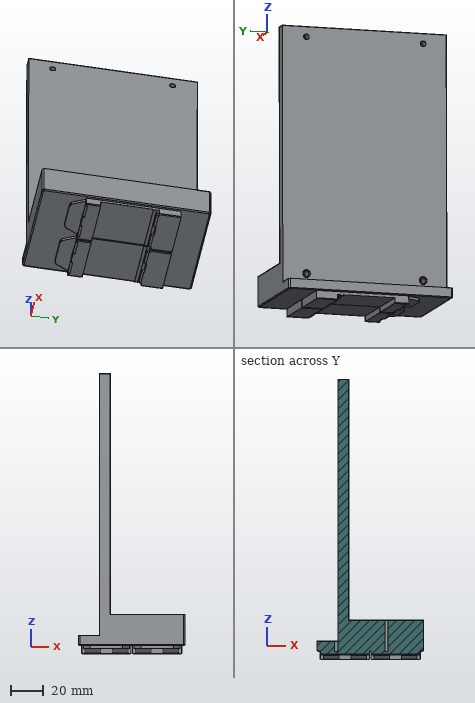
import cadquery as cq
import math

BASE_DEPTH = 64.8
BASE_LENGTH = 104.3
TOTAL_HEIGHT = 170.1
BASE_BOTTOM = 5.1
LEDGE_TOP = 11.2
BLOCK_TOP = 24.0
CORNER_CHAMFER = 1.0
BOTTOM_CHAMFER_HEIGHT = 0.5
BOTTOM_CHAMFER_INSET = 0.9

PLATE_X = 12.8
PLATE_THICKNESS = 6.6
END_LEAN = 0.3

MOUNT_HOLE_Y = 37.1
MOUNT_HOLE_DIAMETER = 3.4
UPPER_HOLE_Z = 163.8
LOWER_HOLE_MOUTH_DIAMETER = 4.8
LOWER_HOLE_Z = 17.4
LOWER_HOLE_DEPTH = 8.5
DRILL_TIP_ANGLE = 118
SCREW_HOLE_DIAMETER = 1.7
SCREW_HOLES_X = (11.7, 42.2)

CLIP_WIDTH = 30.0
CLIP_PITCH = 30.8
CLIP_CHAMFER = 0.5
DECK_BOTTOM = 3.4
CLIP_BACK_Y = 34
BACK_FOOT_Y = 20.8
FRONT_FOOT_Y = -15.7
CLIP_FRONT_Y = -24.7

HOOK_TOP = 2.2
HOOK_NOSE_BOTTOM = 1.1
HOOK_REACH = 1.5
HOOK_X = 8.3
HOOK_WIDTH = 9.4

RIB_Y = 17.9
RIB_WIDTH = 2.0
RIB_DEPTH = 0.43

TAB_END_Y = -33.7
TAB_SHOULDER_Y = -32.7
TAB_ROOT_HALF_WIDTH = 14.0
TAB_SHOULDER_HALF_WIDTH = 9.9
TAB_END_HALF_WIDTH = 6.6
TAB_CORNER_BULGE = 0.3


def box(x_min, x_max, y_min, y_max, z_min, z_max):
    """Box between two opposite corners."""
    return (
        cq.Workplane("XY")
        .box(x_max - x_min, y_max - y_min, z_max - z_min, centered=False)
        .translate((x_min, y_min, z_min))
    )


def extrude_along_x(yz_points, x_center, width):
    """Prism with a YZ outline, centred on x_center."""
    outline = cq.Workplane("YZ").polyline(yz_points).close()
    return outline.extrude(width / 2, both=True).translate((x_center, 0, 0))


def make_body():
    """Base and upright plate in one piece, with both ends leaning slightly towards +Y."""
    half = BASE_LENGTH / 2
    outline = [
        (-half, BASE_BOTTOM),
        (half, BASE_BOTTOM),
        (half + END_LEAN, TOTAL_HEIGHT),
        (-half + END_LEAN, TOTAL_HEIGHT),
    ]
    body = extrude_along_x(outline, BASE_DEPTH / 2, BASE_DEPTH)
    body = body.edges("not(|X or |Y)").chamfer(CORNER_CHAMFER)
    body = body.faces("<Z").chamfer(BOTTOM_CHAMFER_INSET, BOTTOM_CHAMFER_HEIGHT)
    above_ledge = box(0, PLATE_X, -BASE_LENGTH, BASE_LENGTH, LEDGE_TOP, TOTAL_HEIGHT)
    plate_back_x = PLATE_X + PLATE_THICKNESS
    above_block = box(plate_back_x, BASE_DEPTH, -BASE_LENGTH, BASE_LENGTH, BLOCK_TOP, TOTAL_HEIGHT)
    return body.cut(above_ledge).cut(above_block)


def drill_through_plate(body, y, z):
    """Plain hole through the plate."""
    drill = cq.Workplane("YZ", origin=(PLATE_X, y, z)).circle(MOUNT_HOLE_DIAMETER / 2)
    return body.cut(drill.extrude(PLATE_THICKNESS))


def drill_blind_hole(body, y, z):
    """Countersunk blind hole with a conical bottom, entering from the plate's -X face."""
    radius = MOUNT_HOLE_DIAMETER / 2
    mouth_radius = LOWER_HOLE_MOUTH_DIAMETER / 2
    tip_length = radius / math.tan(math.radians(DRILL_TIP_ANGLE / 2))
    profile = cq.Workplane("XY").polyline([
        (0, 0),
        (0, mouth_radius),
        (mouth_radius - radius, radius),
        (LOWER_HOLE_DEPTH, radius),
        (LOWER_HOLE_DEPTH + tip_length, 0),
    ]).close()
    drill = profile.revolve(360, (0, 0, 0), (1, 0, 0))
    return body.cut(drill.translate((PLATE_X, y, z)))


def make_tab(x_center):
    """Release tab in front of the clip: tapered sides and a rounded end."""
    return (
        cq.Workplane("XY", origin=(x_center, 0, DECK_BOTTOM))
        .moveTo(-TAB_ROOT_HALF_WIDTH, CLIP_FRONT_Y)
        .lineTo(-TAB_SHOULDER_HALF_WIDTH, TAB_SHOULDER_Y)
        .sagittaArc((-TAB_END_HALF_WIDTH, TAB_END_Y), -TAB_CORNER_BULGE)
        .lineTo(TAB_END_HALF_WIDTH, TAB_END_Y)
        .sagittaArc((TAB_SHOULDER_HALF_WIDTH, TAB_SHOULDER_Y), -TAB_CORNER_BULGE)
        .lineTo(TAB_ROOT_HALF_WIDTH, CLIP_FRONT_Y)
        .close()
        .extrude(BASE_BOTTOM - DECK_BOTTOM)
    )


def make_foot(x_center, y_min, y_max):
    """Foot hanging from the clip deck, chamfered along both sides of its sole."""
    half = CLIP_WIDTH / 2
    foot = box(x_center - half, x_center + half, y_min, y_max, 0, DECK_BOTTOM)
    return foot.faces("<Z").edges("|Y").chamfer(CLIP_CHAMFER)


def make_clip(x_center):
    """Rail clip: deck, two feet, hooks on the back foot and catches in the front one."""
    half = CLIP_WIDTH / 2
    clip = box(x_center - half, x_center + half, CLIP_FRONT_Y, CLIP_BACK_Y, DECK_BOTTOM, BASE_BOTTOM)
    clip = clip.union(make_foot(x_center, BACK_FOOT_Y, CLIP_BACK_Y))
    clip = clip.union(make_foot(x_center, CLIP_FRONT_Y, FRONT_FOOT_Y))
    clip = clip.union(make_tab(x_center))
    rib = box(x_center - half, x_center + half, RIB_Y - RIB_WIDTH / 2, RIB_Y + RIB_WIDTH / 2,
              DECK_BOTTOM - RIB_DEPTH, DECK_BOTTOM)
    clip = clip.union(rib)

    hook_nose_y = BACK_FOOT_Y - HOOK_REACH
    hook_outline = [
        (BACK_FOOT_Y, HOOK_TOP),
        (hook_nose_y, HOOK_TOP),
        (hook_nose_y, HOOK_NOSE_BOTTOM),
        (hook_nose_y + HOOK_NOSE_BOTTOM, 0),
        (BACK_FOOT_Y, 0),
    ]
    lead_in_outline = [
        (CLIP_FRONT_Y, 0),
        (CLIP_FRONT_Y, HOOK_NOSE_BOTTOM),
        (CLIP_FRONT_Y + HOOK_NOSE_BOTTOM, 0),
    ]
    for x in (x_center - HOOK_X, x_center + HOOK_X):
        clip = clip.union(extrude_along_x(hook_outline, x, HOOK_WIDTH))
        pocket = box(x - HOOK_WIDTH / 2, x + HOOK_WIDTH / 2, CLIP_FRONT_Y,
                     CLIP_FRONT_Y + HOOK_REACH, HOOK_TOP, DECK_BOTTOM)
        clip = clip.cut(pocket).cut(extrude_along_x(lead_in_outline, x, HOOK_WIDTH))
    return clip


def drill_screw_hole(body, x):
    """Vertical hole through the base, ending on top of a clip."""
    drill = cq.Workplane("XY", origin=(x, 0, BASE_BOTTOM)).circle(SCREW_HOLE_DIAMETER / 2)
    return body.cut(drill.extrude(BLOCK_TOP - BASE_BOTTOM))


result = make_body()
for hole_y in (-MOUNT_HOLE_Y, MOUNT_HOLE_Y):
    result = drill_through_plate(result, hole_y, UPPER_HOLE_Z)
    result = drill_blind_hole(result, hole_y, LOWER_HOLE_Z)
for screw_x in SCREW_HOLES_X:
    result = drill_screw_hole(result, screw_x)
for clip_offset in (-CLIP_PITCH / 2, CLIP_PITCH / 2):
    result = result.union(make_clip(BASE_DEPTH / 2 + clip_offset))